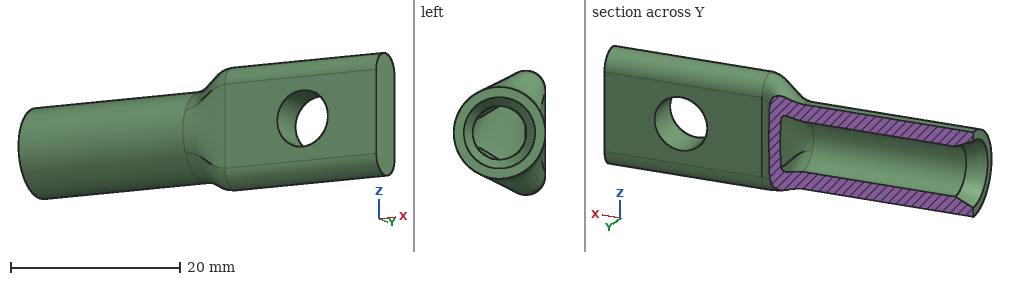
import cadquery as cq
import math

total_length = 48.0
barrel_length = 22.05
barrel_radius = 5.43
transition_length = 5.65
tongue_thickness = 4.6
tongue_height = 14.75
bolt_hole_diameter = 6.75
bolt_hole_to_end = 9.9
bore_radius = 3.15
mouth_radius = 4.22
mouth_depth = 2.3

corner_angle = math.radians(28)
blend_steps = (0.0, 0.2, 0.5, 0.8, 1.0)

tongue_start = barrel_length + transition_length
tongue_length = total_length - tongue_start
wall = barrel_radius - bore_radius
edge_radius = tongue_thickness / 2
flat_half = tongue_height / 2 - edge_radius
tongue_y = edge_radius - barrel_radius


def barrel_profile(radius):
    """(y, z) points on a circle, alternating between corners and side middles."""
    angles = (
        corner_angle, math.pi / 2, math.pi - corner_angle, math.pi,
        math.pi + corner_angle, -math.pi / 2, -corner_angle, 0,
    )
    return [(radius * math.cos(angle), radius * math.sin(angle)) for angle in angles]


def tongue_profile(radius):
    """(y, z) points on a slot with the given end radius, matching the circle points."""
    return [
        (tongue_y + radius, flat_half),
        (tongue_y, flat_half + radius),
        (tongue_y - radius, flat_half),
        (tongue_y - radius, 0),
        (tongue_y - radius, -flat_half),
        (tongue_y, -flat_half - radius),
        (tongue_y + radius, -flat_half),
        (tongue_y + radius, 0),
    ]


def section(step, inset):
    """Closed wire a fraction `step` of the way from the barrel to the tongue."""
    x = barrel_length + step * transition_length
    ease = step * step * (3 - 2 * step)
    barrel_points = barrel_profile(barrel_radius - inset)
    tongue_points = tongue_profile(edge_radius - inset)
    points = [
        cq.Vector(x, b[0] + ease * (t[0] - b[0]), b[1] + ease * (t[1] - b[1]))
        for b, t in zip(barrel_points, tongue_points)
    ]
    edges = []
    for i in range(0, len(points), 2):
        start = points[i]
        middle = points[i + 1]
        end = points[(i + 2) % len(points)]
        is_flat = step == 1.0 and i in (2, 6)
        if is_flat:
            edges.append(cq.Edge.makeLine(start, end))
        else:
            edges.append(cq.Edge.makeThreePointArc(start, middle, end))
    return cq.Wire.assembleEdges(edges)


def blend(inset=0.0):
    """Smooth solid between barrel and tongue, with its profiles shrunk by `inset`."""
    return cq.Workplane(cq.Solid.makeLoft([section(step, inset) for step in blend_steps]))


barrel = cq.Workplane("YZ").circle(barrel_radius).extrude(barrel_length)
transition = blend()
tongue = (
    cq.Workplane("YZ", origin=(tongue_start, tongue_y, 0))
    .slot2D(tongue_height, tongue_thickness, 90)
    .extrude(tongue_length)
)

bore = cq.Workplane("YZ").circle(bore_radius).extrude(barrel_length)
bore_end = blend(inset=wall)
mouth = cq.Workplane(cq.Solid.makeCone(
    mouth_radius, bore_radius, mouth_depth, cq.Vector(0, 0, 0), cq.Vector(1, 0, 0)
))

bolt_hole = (
    cq.Workplane("XZ", origin=(total_length - bolt_hole_to_end, tongue_y, 0))
    .circle(bolt_hole_diameter / 2)
    .extrude(tongue_thickness, both=True)
)

body = barrel.union(transition).union(tongue)
result = body.cut(bore).cut(bore_end).cut(mouth).cut(bolt_hole)